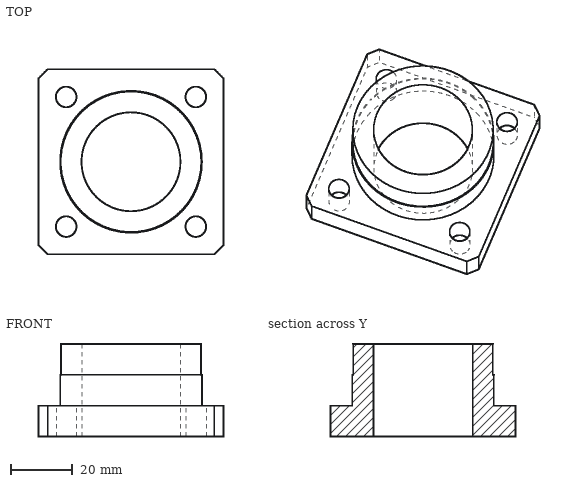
import cadquery as cq

flange_side = 60.0
total_height = 30.0
tier_height = total_height / 3
corner_chamfer = 3.0

lower_collar_diameter = 46.0
upper_collar_diameter = 45.5
bore_diameter = 32.0

hole_diameter = 6.6
hole_spacing = 42.0


def make_flange():
    """Square plate resting on Z = 0, with its four upright corners chamfered."""
    plate = cq.Workplane("XY").rect(flange_side, flange_side).extrude(tier_height)
    return plate.edges("|Z").chamfer(corner_chamfer)


def add_collar(body, diameter):
    """Stack one round tier on the top face of the body."""
    return body.faces(">Z").workplane(origin=(0, 0, 0)).circle(diameter / 2).extrude(tier_height)


def make_hole_cutters():
    """Full-height cylinders for the four mounting holes."""
    return (
        cq.Workplane("XY")
        .rect(hole_spacing, hole_spacing, forConstruction=True)
        .vertices()
        .circle(hole_diameter / 2)
        .extrude(total_height)
    )


def make_bore_cutter():
    """Full-height cylinder for the central bore."""
    return cq.Workplane("XY").circle(bore_diameter / 2).extrude(total_height)


result = make_flange()
for collar_diameter in (lower_collar_diameter, upper_collar_diameter):
    result = add_collar(result, collar_diameter)
result = result.cut(make_hole_cutters()).cut(make_bore_cutter())